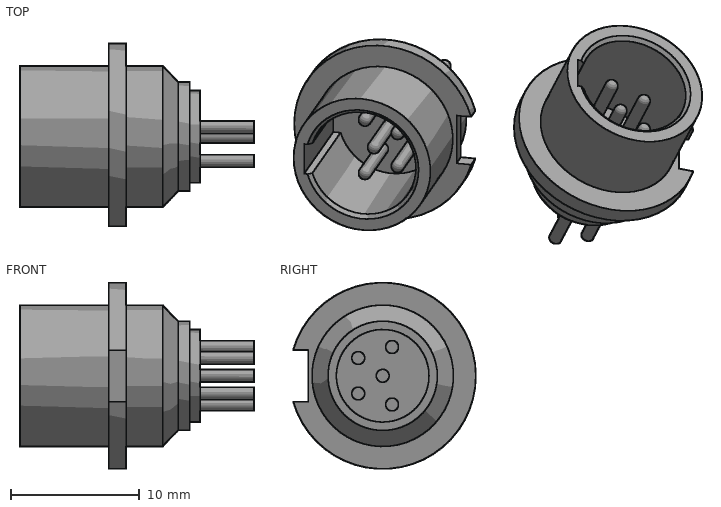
import cadquery as cq
import math


body_radius = 5.5
body_end = 11.1
cone_end = 12.3
collar_radius = 4.25
collar_end = 13.2
rear_radius = 3.6
rear_end = 14.0

flange_radius = 7.25
flange_start = 6.9
flange_thickness = 1.35
notch_width = 4.0
notch_floor_offset = 5.8

socket_radius = 4.25
socket_depth = 9.0
mouth_chamfer = 0.3
keyway_width = 2.5
keyway_floor_offset = 4.65

pin_radius = 0.5
pin_tip = 3.2
pin_end = 18.2
pin_circle_radius = 2.35
pin_circle_positions = 5


def cylinder_along_x(radius, start, end):
    return cq.Workplane("YZ", origin=(start, 0, 0)).circle(radius).extrude(end - start)


def box_between(x_range, y_range, height):
    """Box spanning the given X and Y ranges, centred on Z = 0."""
    length = x_range[1] - x_range[0]
    width = y_range[1] - y_range[0]
    corner = (x_range[0], y_range[0], -height / 2)
    return cq.Workplane("XY").box(length, width, height, centered=False).translate(corner)


def make_shell():
    """Body, rear cone, collar and rear step as one revolved profile."""
    profile = (
        cq.Workplane("XY")
        .moveTo(0, 0)
        .lineTo(0, body_radius)
        .lineTo(body_end, body_radius)
        .lineTo(cone_end, collar_radius)
        .lineTo(collar_end, collar_radius)
        .lineTo(collar_end, rear_radius)
        .lineTo(rear_end, rear_radius)
        .lineTo(rear_end, 0)
        .close()
    )
    return profile.revolve(360, (0, 0, 0), (1, 0, 0))


def make_flange():
    flange_end = flange_start + flange_thickness
    disc = cylinder_along_x(flange_radius, flange_start, flange_end)
    notch = box_between(
        (flange_start, flange_end), (-flange_radius, -notch_floor_offset), notch_width
    )
    return disc.cut(notch)


def make_socket():
    """Volume removed from the shell: chamfered bore plus keyway."""
    bore = (
        cq.Workplane("XY")
        .moveTo(0, 0)
        .lineTo(0, socket_radius + mouth_chamfer)
        .lineTo(mouth_chamfer, socket_radius)
        .lineTo(socket_depth, socket_radius)
        .lineTo(socket_depth, 0)
        .close()
        .revolve(360, (0, 0, 0), (1, 0, 0))
    )
    keyway = box_between((0, socket_depth), (0, keyway_floor_offset), keyway_width)
    return bore.union(keyway)


def make_pin(y, z):
    """Straight pin with a hemispherical tip in the socket and a flat rear end."""
    dome_center = pin_tip + pin_radius
    shank = cylinder_along_x(pin_radius, dome_center, pin_end)
    dome = cq.Workplane("XY").sphere(pin_radius).translate((dome_center, 0, 0))
    return shank.union(dome).translate((0, y, z))


def pin_centers():
    centers = [(0, 0)]
    for position in range(1, pin_circle_positions):
        angle = 2 * math.pi * position / pin_circle_positions
        centers.append((pin_circle_radius * math.cos(angle), pin_circle_radius * math.sin(angle)))
    return centers


result = make_shell().union(make_flange()).cut(make_socket())
for pin_y, pin_z in pin_centers():
    result = result.union(make_pin(pin_y, pin_z))